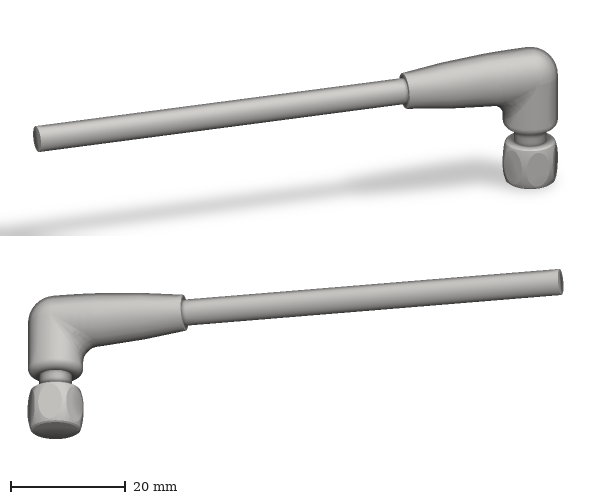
import cadquery as cq
import math

total_length = 95.3
total_height = 25.0
body_diameter = 9.6
body_radius = body_diameter / 2
cable_axis_z = total_height - body_radius

nut_height = 7.6
nut_end_radius = 4.3
nut_bulge_radius = 5.0
nut_across_flats = 9.0
nut_rim_chamfer = 0.24

neck_diameter = 5.7
body_bottom_z = 10.3
body_bottom_fillet = 1.3
elbow_fillet = 2.9

sleeve_length = 23.1
sleeve_end_radius = 3.1
sleeve_straight_length = 0.5
sleeve_taper_length = sleeve_length - sleeve_straight_length
sleeve_taper = body_radius - sleeve_end_radius
sleeve_arc_radius = (sleeve_taper_length**2 + sleeve_taper**2) / (2 * sleeve_taper)
sleeve_middle_y = -sleeve_straight_length - sleeve_taper_length / 2
sleeve_middle_radius = (
    body_radius - sleeve_arc_radius + math.sqrt(sleeve_arc_radius**2 - (sleeve_taper_length / 2) ** 2)
)
cable_diameter = 4.6
cable_end_y = nut_bulge_radius - total_length


def coupling_nut():
    """Crowned nut with six flats, two of them facing +X and -X."""
    barrel = (
        cq.Workplane("XZ")
        .lineTo(nut_end_radius, 0)
        .threePointArc((nut_bulge_radius, nut_height / 2), (nut_end_radius, nut_height))
        .lineTo(0, nut_height)
        .close()
        .revolve(360, (0, 0), (0, 1))
        .faces("<Z or >Z")
        .edges()
        .chamfer(nut_rim_chamfer)
    )
    hexagon = (
        cq.Workplane("XY")
        .polygon(6, nut_across_flats, circumscribed=True)
        .extrude(nut_height)
    )
    return barrel.intersect(hexagon)


def neck():
    """Pin joining the nut to the elbow."""
    return (
        cq.Workplane("XY", origin=(0, 0, nut_height))
        .circle(neck_diameter / 2)
        .extrude(body_bottom_z - nut_height)
    )


def elbow():
    """Upright leg, spherical corner and tapered sleeve, blended on the inner side."""
    leg = (
        cq.Workplane("XY", origin=(0, 0, body_bottom_z))
        .circle(body_radius)
        .extrude(cable_axis_z - body_bottom_z)
        .faces("<Z")
        .edges()
        .fillet(body_bottom_fillet)
    )
    corner = cq.Workplane("XY", origin=(0, 0, cable_axis_z)).sphere(body_radius)
    sleeve = (
        cq.Workplane("YZ", origin=(0, 0, cable_axis_z))
        .lineTo(0, body_radius)
        .lineTo(-sleeve_straight_length, body_radius)
        .threePointArc(
            (sleeve_middle_y, sleeve_middle_radius), (-sleeve_length, sleeve_end_radius)
        )
        .lineTo(-sleeve_length, 0)
        .close()
        .revolve(360, (0, 0), (1, 0))
    )
    inner_corner = (0, -body_radius, cable_axis_z - body_radius)
    return (
        leg.union(sleeve)
        .edges(cq.selectors.NearestToPointSelector(inner_corner))
        .fillet(elbow_fillet)
        .union(corner)
    )


def cable():
    """Round cable leaving the sleeve along -Y."""
    return (
        cq.Workplane("XZ", origin=(0, -sleeve_length / 2, cable_axis_z))
        .circle(cable_diameter / 2)
        .extrude(-sleeve_length / 2 - cable_end_y)
    )


result = elbow().union(cable()).union(neck()).union(coupling_nut())